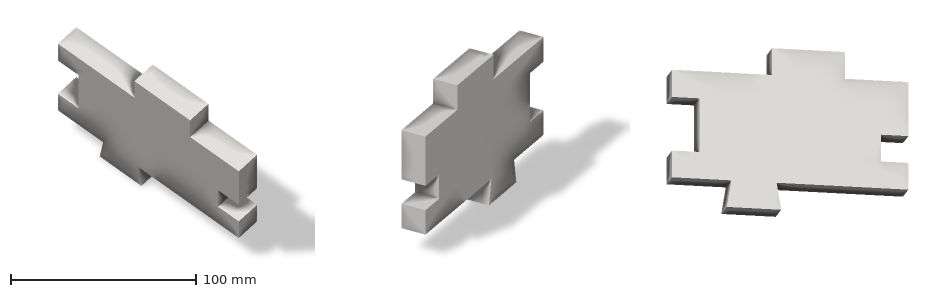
import cadquery as cq

length = 130.0
body_height = 60.0
thickness = 15.0

step = 15.0

tab_start = 55.0
tab_width = 40.0

left_notch_height = 2 * step
right_notch_height = step

dovetail_start = 30.0
dovetail_width = 30.0
dovetail_neck = 25.0


def block(x_start, z_start, width, height):
    """Full-thickness block given by its lower left corner and size."""
    return cq.Workplane("XY").box(width, thickness, height, centered=False).translate((x_start, 0, z_start))


def dovetail():
    flare = (dovetail_width - dovetail_neck) / 2
    dovetail_end = dovetail_start + dovetail_width
    outline = [
        (dovetail_start, -step),
        (dovetail_end, -step),
        (dovetail_end - flare, 0),
        (dovetail_start + flare, 0),
    ]
    return cq.Workplane("XZ").polyline(outline).close().extrude(-thickness)


body = block(0, 0, length, body_height)
top_tab = block(tab_start, body_height, tab_width, step)
left_notch = block(0, step, step, left_notch_height)
right_notch = block(length - step, step, step, right_notch_height)

result = body.union(top_tab).union(dovetail()).cut(left_notch).cut(right_notch)